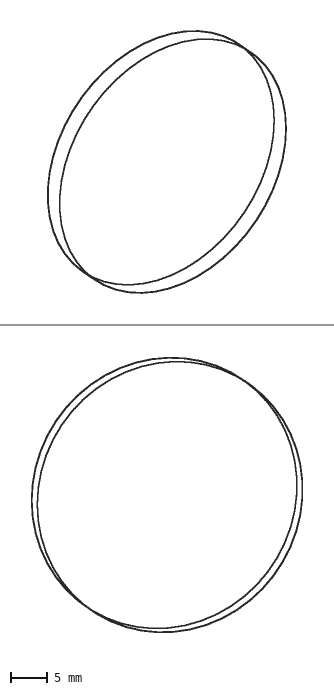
import cadquery as cq

diameter = 38.05
center_thickness = 5.7
edge_thickness = 2.9

radius = diameter / 2
dome_height = center_thickness - edge_thickness
sphere_radius = (radius**2 + dome_height**2) / (2 * dome_height)

flat_face_x = center_thickness / 2
apex_x = flat_face_x - center_thickness
rim_x = flat_face_x - edge_thickness
mid_y = radius / 2
mid_x = apex_x + sphere_radius - (sphere_radius**2 - mid_y**2) ** 0.5

half_profile = (
    cq.Workplane("XY")
    .moveTo(apex_x, 0)
    .threePointArc((mid_x, mid_y), (rim_x, radius))
    .lineTo(flat_face_x, radius)
    .lineTo(flat_face_x, 0)
    .close()
)

result = half_profile.revolve(360, (0, 0, 0), (1, 0, 0))